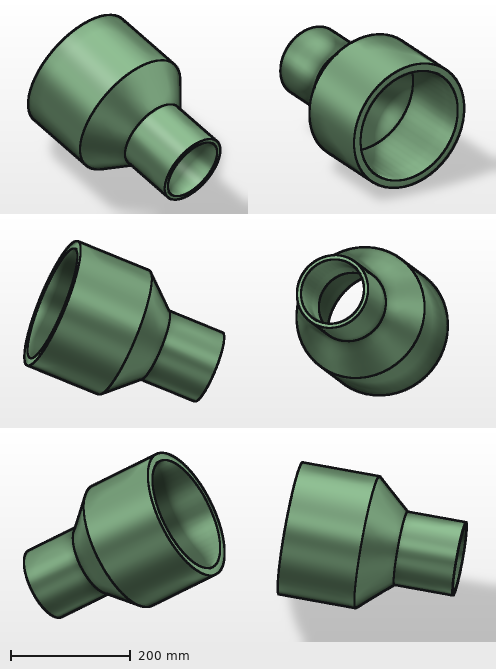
import cadquery as cq

total_length = 288.0
large_length = 131.0
small_length = 100.0
cone_end = total_length - small_length

large_outer_diameter = 225.0
large_bore_diameter = 198.0
small_outer_diameter = 125.0
small_bore_diameter = 110.3


def reducer_solid(large_diameter, small_diameter):
    """Solid of revolution: large cylinder, cone, small cylinder along +X."""
    large_radius = large_diameter / 2
    small_radius = small_diameter / 2
    return (
        cq.Workplane("XY")
        .moveTo(0, 0)
        .lineTo(0, large_radius)
        .lineTo(large_length, large_radius)
        .lineTo(cone_end, small_radius)
        .lineTo(total_length, small_radius)
        .lineTo(total_length, 0)
        .close()
        .revolve(360, (0, 0, 0), (1, 0, 0))
    )


outside = reducer_solid(large_outer_diameter, small_outer_diameter)
bore = reducer_solid(large_bore_diameter, small_bore_diameter)
result = outside.cut(bore)